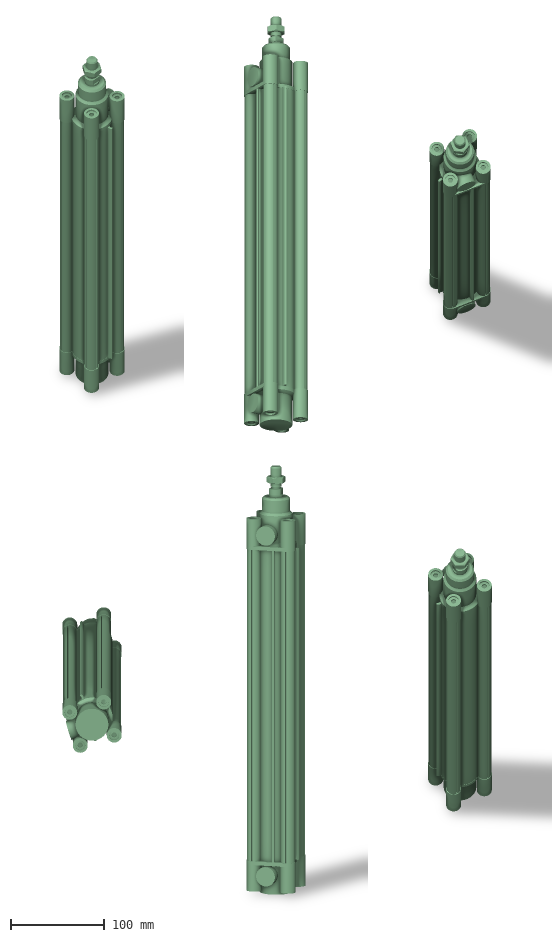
import cadquery as cq
import math

body_length = 406.0
head_length = 33.0
spigot_dia = 35.0
rear_spigot_height = 4.0

bolt_offset = 19.0
tube_dia = 43.5
tube_lobe_dia = 15.0
tube_bore_dia = 40.0
slot_width = 1.2
slot_depth = 3.0
flat_angle = 20.5
flat_depth = 0.8

fin_tip_x = 27.0
fin_lip_x = 26.0
fin_root_x = 20.5
fin_neck_x = 24.5
fin_low_y = 2.2
fin_tip_y = 3.6
fin_high_y = 4.6
fin_lip_y = 5.6

boss_dia = 16.0
plinth_dia = 44.0
plinth_height = 4.0
plinth_cone_height = 2.5
port_block_y = 27.0
port_boss_dia = 21.0
port_x = 3.5
port_z = 17.0

screw_recess_dia = 10.8
screw_recess_depth = 2.0
screw_socket_dia = 5.5
screw_socket_depth = 4.0

front_spigot_height = 3.0
nose_cone_height = 2.5
nose_dia = 30.0
nose_top = body_length + 21.2
nose_chamfer = 2.0

rod_shank_dia = 15.5
rod_collar_dia = 16.0
rod_shoulder = body_length + 30.0
rod_flats_width = 13.0
rod_flats_length = 6.0
rod_depth = 20.0
neck_dia = 10.0
neck_length = 2.5
thread_dia = 12.0
thread_chamfer_length = 1.5
thread_end_dia = 10.0
rod_end = body_length + 54.0

nut_sides = 6
nut_width = 18.0
nut_height = 7.0
nut_base = rod_shoulder + 6.2
nut_chamfer_angle = 30.0
nut_face_dia = 17.1

corners = [(sx * bolt_offset, sy * bolt_offset) for sx in (-1, 1) for sy in (-1, 1)]


def cylinder(dia, base, height):
    return cq.Workplane("XY").workplane(offset=base).circle(dia / 2).extrude(height)


def cone(base_dia, top_dia, base, height):
    return cq.Workplane(cq.Solid.makeCone(base_dia / 2, top_dia / 2, height, cq.Vector(0, 0, base)))


def make_tube():
    base = head_length
    length = body_length - 2 * head_length
    tube = cylinder(tube_dia, base, length)
    flat_distance = tube_dia / 2 - flat_depth
    for angle in (flat_angle, 180 - flat_angle):
        cutter = (
            cq.Workplane("XY").workplane(offset=base).center(flat_distance + tube_dia / 2, 0)
            .rect(tube_dia, tube_dia).extrude(length)
        )
        tube = tube.cut(cutter.rotate((0, 0, 0), (0, 0, 1), angle))
    for x, y in corners:
        tube = tube.union(cylinder(tube_lobe_dia, base, length).translate((x, y, 0)))
    crest = bolt_offset + tube_lobe_dia / 2
    for x, y in corners:
        for gx, gy in ((math.copysign(crest, x), y), (x, math.copysign(crest, y))):
            size = (2 * slot_depth, slot_width) if gy == y else (slot_width, 2 * slot_depth)
            groove = cq.Workplane("XY").workplane(offset=base).center(gx, gy).rect(*size).extrude(length)
            tube = tube.cut(groove)
    fin = (
        cq.Workplane("XY").workplane(offset=base)
        .polyline([
            (fin_root_x, fin_low_y), (fin_neck_x, fin_low_y), (fin_tip_x, fin_tip_y),
            (fin_lip_x, fin_lip_y), (fin_neck_x, fin_high_y), (fin_root_x, fin_high_y),
        ]).close().extrude(length)
    )
    tube = tube.union(fin).union(fin.mirror("YZ")).union(fin.rotate((0, 0, 0), (0, 0, 1), 90))
    return tube.cut(cylinder(tube_bore_dia, base, length))


def make_head():
    """Head with its mounting face at z = 0 and the tube side at z = head_length."""
    cone_top = head_length - plinth_height
    head = cylinder(spigot_dia, 0, head_length)
    head = head.union(cylinder(plinth_dia, cone_top, plinth_height))
    head = head.union(cone(spigot_dia, plinth_dia, cone_top - plinth_cone_height, plinth_cone_height))
    block_size = (2 * bolt_offset, port_block_y, plinth_height)
    block = cq.Workplane("XY").box(*block_size, centered=(True, False, False))
    head = head.union(block.translate((0, 0, cone_top)))
    port = cq.Workplane("XZ").center(port_x, port_z).circle(port_boss_dia / 2).extrude(-port_block_y)
    head = head.union(port)
    for x, y in corners:
        head = head.union(cylinder(boss_dia, 0, head_length).translate((x, y, 0)))
    for x, y in corners:
        recess = cylinder(screw_recess_dia, 0, screw_recess_depth)
        recess = recess.union(cylinder(screw_socket_dia, 0, screw_socket_depth))
        head = head.cut(recess.translate((x, y, 0)))
    return head


def make_rear_head():
    return make_head().union(cylinder(spigot_dia, -rear_spigot_height, rear_spigot_height))


def make_front_head():
    head = make_head().mirror("XY").translate((0, 0, body_length))
    cone_base = body_length + front_spigot_height
    head = head.union(cylinder(spigot_dia, body_length, front_spigot_height))
    head = head.union(cone(spigot_dia, nose_dia, cone_base, nose_cone_height))
    nose = cylinder(nose_dia, body_length, nose_top - body_length).faces(">Z").chamfer(nose_chamfer)
    head = head.union(nose)
    return head.cut(cylinder(rod_shank_dia, nose_top - rod_depth, rod_depth))


def make_rod():
    base = nose_top - rod_depth
    collar_base = rod_shoulder - rod_flats_length
    rod = cylinder(rod_shank_dia, base, collar_base - base)
    collar = cylinder(rod_collar_dia, collar_base, rod_flats_length)
    flats = (
        cq.Workplane("XY").workplane(offset=collar_base)
        .rect(rod_flats_width, 2 * rod_collar_dia).extrude(rod_flats_length)
    )
    rod = rod.union(collar.intersect(flats))
    rod = rod.union(cylinder(neck_dia, rod_shoulder, neck_length))
    thread_base = rod_shoulder + neck_length
    chamfer_base = rod_end - thread_chamfer_length
    rod = rod.union(cylinder(thread_dia, thread_base, chamfer_base - thread_base))
    return rod.union(cone(thread_dia, thread_end_dia, chamfer_base, thread_chamfer_length))


def make_nut():
    corner_dia = nut_width / math.cos(math.radians(180 / nut_sides))
    nut = (
        cq.Workplane("XY").polygon(nut_sides, corner_dia).extrude(nut_height)
        .rotate((0, 0, 0), (0, 0, 1), 180 / nut_sides)
    )
    drop = (corner_dia - nut_face_dia) / 2 * math.tan(math.radians(nut_chamfer_angle))
    limit = (
        cq.Workplane("XZ")
        .polyline([
            (0, 0), (nut_face_dia / 2, 0), (corner_dia / 2, drop),
            (corner_dia / 2, nut_height - drop), (nut_face_dia / 2, nut_height), (0, nut_height),
        ]).close().revolve(360, (0, 0, 0), (0, 1, 0))
    )
    nut = nut.intersect(limit).cut(cylinder(thread_dia, 0, nut_height))
    return nut.translate((0, 0, nut_base))


tube = make_tube()
rear_head = make_rear_head()
front_head = make_front_head()
rod = make_rod()
nut = make_nut()

result = cq.Compound.makeCompound([tube.val(), rear_head.val(), front_head.val(), rod.val(), nut.val()])